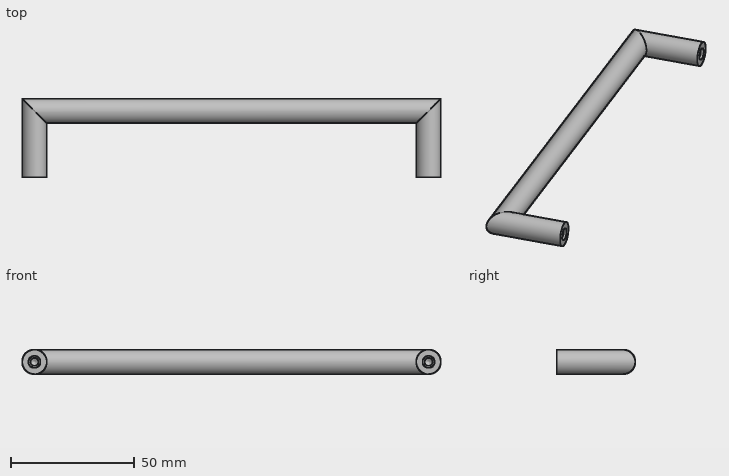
import cadquery as cq
import math

length = 170.0
projection = 32.0
bar_diameter = 10.0
hole_diameter = 3.2
hole_depth = 11.9
countersink_diameter = 5.0
drill_point_angle = 118.0

bar_radius = bar_diameter / 2
leg_offset = length / 2 - bar_radius
foot_y = -projection / 2
back_y = projection / 2
bar_axis_y = back_y - bar_radius
countersink_depth = (countersink_diameter - hole_diameter) / 2


def grip():
    """Round bar along X, trimmed at 45 degrees at both ends."""
    bar = (
        cq.Workplane("YZ", origin=(-length / 2, bar_axis_y, 0))
        .circle(bar_radius)
        .extrude(length)
    )
    inner_half_length = length / 2 - bar_diameter
    miter_envelope = (
        cq.Workplane("XY")
        .polyline([
            (-length / 2, back_y),
            (length / 2, back_y),
            (inner_half_length, back_y - bar_diameter),
            (-inner_half_length, back_y - bar_diameter),
        ])
        .close()
        .extrude(bar_radius, both=True)
    )
    return bar.intersect(miter_envelope)


def leg(side):
    """Round leg along Y, trimmed to meet the grip at its 45 degree miter."""
    post = (
        cq.Workplane("XZ", origin=(side * leg_offset, back_y, 0))
        .circle(bar_radius)
        .extrude(projection)
    )
    outer_x = side * length / 2
    inner_x = side * (length / 2 - bar_diameter)
    miter_envelope = (
        cq.Workplane("XY")
        .polyline([
            (outer_x, back_y),
            (outer_x, foot_y),
            (inner_x, foot_y),
            (inner_x, back_y - bar_diameter),
        ])
        .close()
        .extrude(bar_radius, both=True)
    )
    return post.intersect(miter_envelope)


def screw_hole(side):
    """Blind drilled hole in a foot: countersunk mouth, bore and conical drill point."""
    hole_radius = hole_diameter / 2
    point_depth = hole_radius / math.tan(math.radians(drill_point_angle / 2))
    half_section = (
        cq.Workplane("XY", origin=(side * leg_offset, foot_y, 0))
        .polyline([
            (0, 0),
            (countersink_diameter / 2, 0),
            (hole_radius, countersink_depth),
            (hole_radius, hole_depth),
            (0, hole_depth + point_depth),
        ])
        .close()
    )
    return half_section.revolve(360, (0, 0), (0, 1))


result = grip()
for side in (-1, 1):
    result = result.union(leg(side)).cut(screw_hole(side))